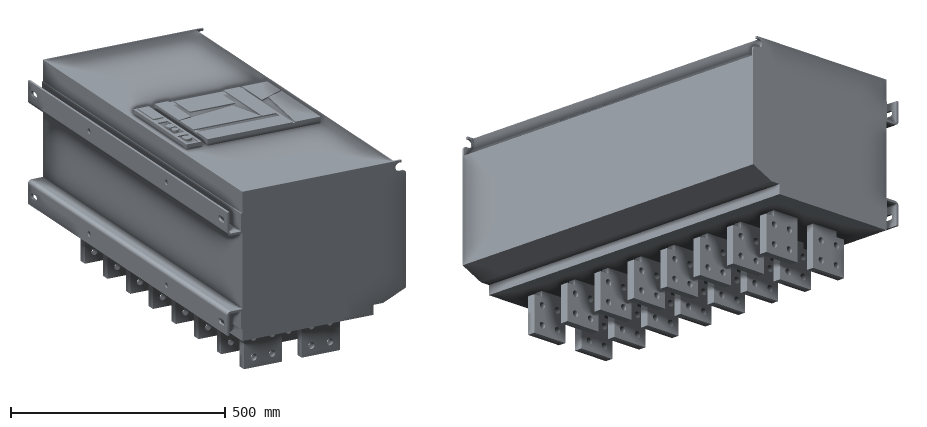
import cadquery as cq


length = 966.0
body_depth = 436.0
body_height = 374.0
heel_depth = 350.0
heel_height = 25.0
bevel_start = 375.0
bevel_height = 52.0

end_plate = 5.0
notch_radius = 11.0
notch_y = 418.0
notch_z = 357.0
lip_end = 424.0
rear_round = 8.0
slope_top_y = 405.0
slope_step_y = 417.0
slope_end_y = 427.0
slope_top_z = 348.0
slope_step = 2.0
vent_count = 35
vent_pitch = 7.15
vent_width = vent_pitch / 2
vent_depth = 4.0
vent_rows = ((410.0, 416.0), (419.0, 426.0))

sheet = 6.0
foot_sheet = 3.0
rail_reach = 40.0
rail_bend = 10.0
rail_mid_z = 175.0
web_offset = 95.0
foot_offset = 145.0
flange_offset = 155.0
rail_hole_offset = 128.0
rail_hole_x = 187.0
rail_hole_diameter = 14.0
rail_slot_x = 454.0
rail_slot_length = 28.0

bar_count = 8
bar_pitch = 110.0
bar_width = 21.0
bar_drop = 110.0
bar_mid_y = 180.0
bar_inner = 26.0
bar_outer = 127.5
bar_neck = 102.0
bar_neck_height = 14.5
bar_hole_offsets = (52.0, 101.0)
bar_hole_depths = (36.0, 85.0)
bar_hole_diameter = 16.0

panel_left = -72.0
panel_right = 185.0
panel_front = 71.5
panel_back = 372.0
panel_base = 14.0
relief = 3.0
panel_mid_x = (panel_left + panel_right) / 2
lower_back = 298.5
badge_front = 304.0
left_badge_front_x = 25.0
left_badge_back_x = -8.0
right_badge_corner = (17.0, 326.0)
right_badge_back_x = -4.0
groove_left = 115.0
groove_right = 133.0
groove_back = 292.0
recess_front = 107.0
recess_back = 255.0
recess_mouth = 2.0
recess_corner_x = 39.0
recess_tail_x = 47.0
lever_corner = (23.0, 227.0)
lever_front_x = 50.0
screen_left = -66.0
screen_right = 12.0
screen_front = 120.0
screen_back = 240.0
strip_front = 15.0
strip_back = 56.0
window_front = 22.0
window_back = 49.0
button_y = (window_front + window_back) / 2
button_windows = ((32.0, 112.0), (127.5, 180.0))
buttons = ((68.0, 11.0), (92.0, 9.0), (151.0, 12.0))

base_top = body_height + panel_base


def block(x0, x1, y0, y1, z0, z1):
    """Box between opposite corners."""
    return cq.Workplane("XY").box(x1 - x0, y1 - y0, z1 - z0, centered=False).translate((x0, y0, z0))


def along_length(profile, x0, x1):
    """Extrude a closed YZ profile from x0 to x1."""
    return profile.extrude(x1 - x0).translate((x0, 0, 0))


def relief_slab(points):
    """Flat slab of the relief layer that stands on the panel base."""
    return cq.Workplane("XY").workplane(offset=base_top).polyline(points).close().extrude(relief)


def lower_outline():
    """Start of the body side profile, from the front top corner round to the rear face."""
    return (
        cq.Workplane("YZ")
        .moveTo(0, body_height)
        .lineTo(0, 0)
        .lineTo(heel_depth, 0)
        .lineTo(heel_depth, heel_height)
        .lineTo(bevel_start, heel_height)
        .lineTo(body_depth, bevel_height)
    )


def make_body():
    half = length / 2
    notch_floor = notch_z - notch_radius
    plate_profile = (
        lower_outline()
        .lineTo(body_depth, notch_floor - rear_round)
        .radiusArc((body_depth - rear_round, notch_floor), -rear_round)
        .lineTo(notch_y, notch_floor)
        .threePointArc((notch_y - notch_radius, notch_z), (notch_y, notch_z + notch_radius))
        .lineTo(lip_end, notch_z + notch_radius)
        .lineTo(lip_end, body_height)
        .close()
    )
    step_top = slope_top_z - (slope_step_y - slope_top_y)
    step_bottom = step_top - slope_step
    ledge = step_bottom - (slope_end_y - slope_step_y)
    middle_profile = (
        lower_outline()
        .lineTo(body_depth, ledge)
        .lineTo(slope_end_y, ledge)
        .lineTo(slope_step_y, step_bottom)
        .lineTo(slope_step_y, step_top)
        .lineTo(slope_top_y, slope_top_z)
        .lineTo(slope_top_y, body_height)
        .close()
    )
    body = along_length(middle_profile, end_plate - half, half - end_plate)
    left_plate = along_length(plate_profile, -half, end_plate - half)
    body = body.union(left_plate).union(left_plate.mirror("YZ"))
    return body.cut(make_vents())


def make_vents():
    """Two rows of narrow slots in the rear slope."""
    vents = cq.Workplane("XY")
    for front, back in vent_rows:
        floor = slope_top_z - (back - slope_top_y) - vent_depth
        row = (
            cq.Workplane("XY", origin=(panel_mid_x, (front + back) / 2, floor))
            .rarray(vent_pitch, 10, vent_count, 1)
            .rect(vent_width, back - front)
            .extrude(slope_top_z - floor)
        )
        vents = vents.union(row)
    return vents


def make_upper_rail():
    web_bottom = rail_mid_z + web_offset
    flange_top = rail_mid_z + flange_offset
    profile = (
        cq.Workplane("YZ")
        .moveTo(0, web_bottom)
        .lineTo(rail_bend - rail_reach, web_bottom)
        .radiusArc((-rail_reach, web_bottom + rail_bend), rail_bend)
        .lineTo(-rail_reach, flange_top)
        .lineTo(sheet - rail_reach, flange_top)
        .lineTo(sheet - rail_reach, web_bottom + rail_bend)
        .radiusArc((rail_bend - rail_reach, web_bottom + sheet), sheet - rail_bend)
        .lineTo(-foot_sheet, web_bottom + sheet)
        .lineTo(-foot_sheet, rail_mid_z + foot_offset)
        .lineTo(0, rail_mid_z + foot_offset)
        .close()
    )
    rail = along_length(profile, -length / 2, length / 2)
    plane = cq.Workplane("XZ", origin=(0, sheet - rail_reach, rail_mid_z + rail_hole_offset))
    holes = (
        plane.pushPoints([(-rail_hole_x, 0), (rail_hole_x, 0)])
        .circle(rail_hole_diameter / 2)
        .extrude(sheet)
    )
    slots = (
        plane.pushPoints([(-rail_slot_x, 0), (rail_slot_x, 0)])
        .slot2D(rail_slot_length, rail_hole_diameter)
        .extrude(sheet)
    )
    return rail.cut(holes).cut(slots)


def make_bar(x, side):
    """One drilled terminal bar; side is +1 behind and -1 in front of the bar middle line."""
    def at(offset):
        return bar_mid_y + side * offset

    profile = cq.Workplane("YZ").polyline([
        (at(bar_inner), 0),
        (at(bar_neck), 0),
        (at(bar_neck), -bar_neck_height),
        (at(bar_outer), -bar_neck_height),
        (at(bar_outer), -bar_drop),
        (at(bar_inner), -bar_drop),
    ]).close()
    centers = [(at(offset), -depth) for offset in bar_hole_offsets for depth in bar_hole_depths]
    holes = cq.Workplane("YZ").pushPoints(centers).circle(bar_hole_diameter / 2).extrude(bar_width)
    return profile.extrude(bar_width).cut(holes).translate((x - bar_width / 2, 0, 0))


def make_panel():
    base = block(panel_left, panel_right, panel_front, panel_back, body_height, base_top)
    left_badge = relief_slab([
        (panel_left, badge_front),
        (left_badge_front_x, badge_front),
        (left_badge_back_x, panel_back),
        (panel_left, panel_back),
    ])
    right_badge = relief_slab([
        (right_badge_back_x, panel_back),
        right_badge_corner,
        (panel_right, badge_front),
        (panel_right, panel_back),
    ])
    lower = relief_slab([
        (panel_left, panel_front),
        (panel_right, panel_front),
        (panel_right, lower_back),
        (panel_left, lower_back),
    ])
    recess = relief_slab([
        (panel_left, recess_back),
        (groove_left, recess_back),
        (groove_left, recess_back - recess_mouth),
        lever_corner,
        (lever_front_x, panel_front),
        (recess_tail_x, panel_front),
        (recess_corner_x, recess_front),
        (panel_left, recess_front),
    ])
    groove = block(groove_left, groove_right, panel_front, groove_back, base_top, base_top + relief)
    screen = block(screen_left, screen_right, screen_front, screen_back, base_top, base_top + relief)
    lower = lower.cut(recess).cut(groove).union(screen)
    return base.union(left_badge).union(right_badge).union(lower)


def make_strip():
    strip = block(panel_left, panel_right, strip_front, strip_back, body_height, base_top)
    label = block(screen_left, screen_right, window_front, window_back, base_top, base_top + relief)
    strip = strip.union(label)
    for left, right in button_windows:
        strip = strip.cut(block(left, right, window_front, window_back, base_top - relief, base_top))
    for x, radius in buttons:
        window_floor = cq.Workplane("XY", origin=(x, button_y, base_top - relief))
        strip = strip.union(window_floor.circle(radius).extrude(2 * relief))
    return strip


result = make_body()

upper_rail = make_upper_rail()
lower_rail = upper_rail.mirror("XY", (0, 0, rail_mid_z))
result = result.union(upper_rail).union(lower_rail)

for index in range(bar_count):
    bar_x = (index - (bar_count - 1) / 2) * bar_pitch
    for side in (-1, 1):
        result = result.union(make_bar(bar_x, side))

result = result.union(make_panel()).union(make_strip())